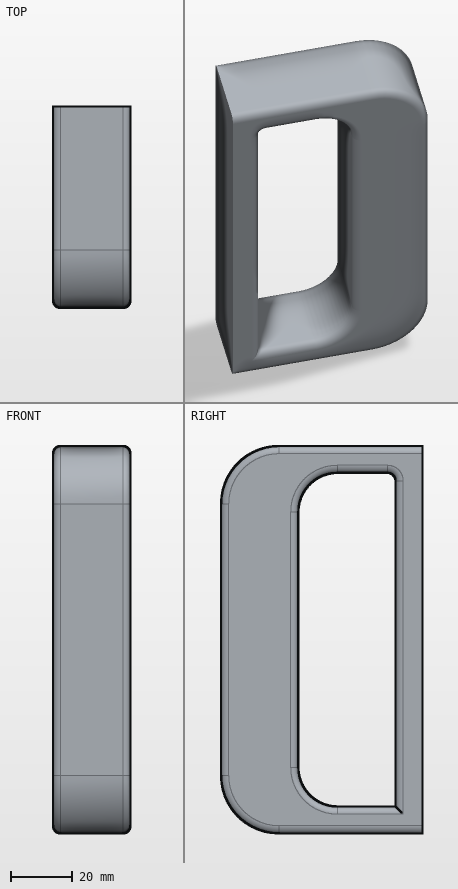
import cadquery as cq

width = 25.4
depth = 66.0
height = 127.0
outer_corner_radius = 19.0
edge_radius = 2.5

wall = 8.9
grip_thickness = 25.4
inner_corner_radius = 12.7
back_corner_radius = 2.5

opening_depth = depth - wall - grip_thickness
opening_height = height - 2 * wall


def make_body():
    """Block with rounded front corners and rounded side edges; the back stays sharp."""
    block = cq.Workplane("XY").box(width, depth, height).translate((0, -depth / 2, 0))
    block = block.edges("|X and <Y").fillet(outer_corner_radius)
    side_edges = block.faces("<X or >X").edges("not(>Y)")
    return side_edges.fillet(edge_radius)


def make_opening():
    """Solid that fills the hand opening."""
    center_y = -wall - opening_depth / 2
    opening = cq.Workplane("XY").box(width, opening_depth, opening_height)
    opening = opening.translate((0, center_y, 0))
    opening = opening.edges("|X and <Y").fillet(inner_corner_radius)
    return opening.edges("|X and >Y and >Z").fillet(back_corner_radius)


def round_opening_rims(part):
    """Round both rims of the opening, which are the inner wires of the side faces."""
    rims = []
    for side in part.faces("<X or >X").vals():
        for wire in side.innerWires():
            rims.extend(wire.Edges())
    return part.newObject(rims).fillet(edge_radius)


result = round_opening_rims(make_body().cut(make_opening()))